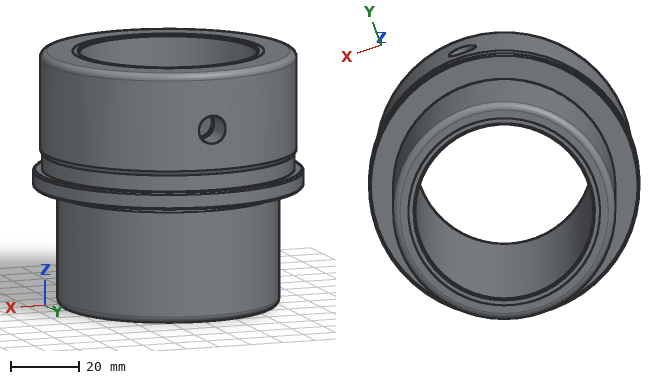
import cadquery as cq
import math

total_height = 75.0
bore_radius = 26.0
liner_radius = 27.95
liner_chamfer = 0.5

spigot_radius = 32.5
spigot_height = 35.1
flange_radius = 39.5
flange_thickness = 5.05
flange_chamfer = 0.55
neck_radius = 36.9
neck_height = 4.7
head_radius = 37.5
head_taper_height = 1.35
edge_radius = 2.05

relief_depth = 0.6
relief_height = 2.0

cross_hole_diameter = 8.3
cross_hole_depth_from_top = 16.9

flange_top = spigot_height + flange_thickness
neck_top = flange_top + neck_height
head_start = neck_top + head_taper_height
relief_start = spigot_height - relief_height
relief_arc_radius = (relief_height**2 + relief_depth**2) / (2 * relief_depth)
relief_arc_center = spigot_radius - relief_depth + relief_arc_radius


def revolve_profile(points):
    """Turn a closed (radius, height) outline about the Z axis."""
    return cq.Workplane("XZ").polyline(points).close().revolve(360, (0, 0, 0), (0, 1, 0))


def make_cross_hole():
    """Radial drill from the axis out through the +Y wall."""
    return (
        cq.Workplane("XZ")
        .center(0, total_height - cross_hole_depth_from_top)
        .circle(cross_hole_diameter / 2)
        .extrude(-flange_radius)
    )


def make_relief():
    """Concave undercut ring around the spigot, deepest against the flange."""
    half_angle = math.asin(relief_height / relief_arc_radius) / 2
    middle = (
        relief_arc_center - relief_arc_radius * math.cos(half_angle),
        spigot_height - relief_arc_radius * math.sin(half_angle),
    )
    return (
        cq.Workplane("XZ")
        .moveTo(spigot_radius, relief_start)
        .threePointArc(middle, (spigot_radius - relief_depth, spigot_height))
        .lineTo(spigot_radius, spigot_height)
        .close()
        .revolve(360, (0, 0, 0), (0, 1, 0))
    )


def make_housing():
    """Stepped bush with spigot, undercut, flange, neck and head."""
    housing = revolve_profile([
        (liner_radius, 0),
        (spigot_radius, 0),
        (spigot_radius, spigot_height),
        (flange_radius - flange_chamfer, spigot_height),
        (flange_radius, spigot_height + flange_chamfer),
        (flange_radius, flange_top - flange_chamfer),
        (flange_radius - flange_chamfer, flange_top),
        (neck_radius, flange_top),
        (neck_radius, neck_top),
        (head_radius, head_start),
        (head_radius, total_height),
        (liner_radius, total_height),
    ])
    housing = housing.faces(">Z").edges(cq.selectors.RadiusNthSelector(-1)).fillet(edge_radius)
    housing = housing.faces("<Z").edges(cq.selectors.RadiusNthSelector(-1)).fillet(edge_radius)
    return housing.cut(make_relief()).cut(make_cross_hole())


def make_liner():
    """Full-length sleeve, with its bore chamfered at both ends."""
    liner = revolve_profile([
        (bore_radius, liner_chamfer),
        (bore_radius + liner_chamfer, 0),
        (liner_radius, 0),
        (liner_radius, total_height),
        (bore_radius + liner_chamfer, total_height),
        (bore_radius, total_height - liner_chamfer),
    ])
    return liner.cut(make_cross_hole())


housing = make_housing()
liner = make_liner()
result = cq.Compound.makeCompound([housing.val(), liner.val()])